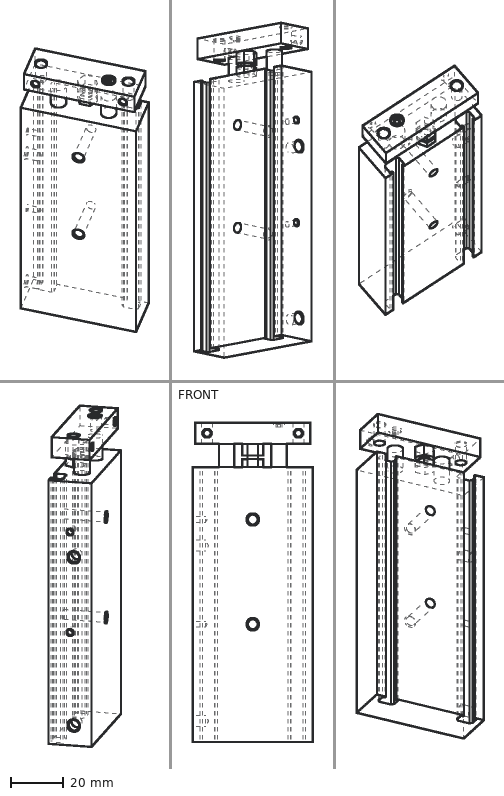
import cadquery as cq
import math

OVERALL_HEIGHT = 122.0

HOUSING_WIDTH = 46.0
HOUSING_DEPTH = 17.0
HOUSING_HEIGHT = 105.0
HOUSING_FRONT = -HOUSING_DEPTH / 2
HOUSING_BACK = HOUSING_DEPTH / 2
HOUSING_LEFT = -HOUSING_WIDTH / 2

GROOVE_OFFSET = 16.8
GROOVE_OPENING = 4.6
GROOVE_LIP = 0.9
GROOVE_WIDTH = 6.6
GROOVE_DEPTH = 4.9
GROOVE_CORNER_CHAMFER = 0.9

MOUNT_DROPS = (20.0, 60.0)

MOUNT_DIAMETER = 3.8
MOUNT_MOUTH = 4.8

SIDE_HOLE_DIAMETER = 2.2
SIDE_HOLE_MOUTH = 2.8
SIDE_HOLE_DEPTH = 4.9

PORT_DROPS = (30.0, 97.0)
PORT_DIAMETER = 4.1
PORT_MOUTH = 5.0
PORT_DEPTH = 4.9

DRILL_TIP_ANGLE = 118.0
MOUTH_ANGLE = 90.0

PLATE_WIDTH = 44.0
PLATE_DEPTH = 15.0
PLATE_HEIGHT = 8.0
PLATE_FRONT = -PLATE_DEPTH / 2
PLATE_BOTTOM = OVERALL_HEIGHT - PLATE_HEIGHT
PLATE_MIDDLE = OVERALL_HEIGHT - PLATE_HEIGHT / 2

PLATE_HOLE_OFFSET = 17.5
PLATE_TOP_DIAMETER = 4.1
PLATE_TOP_MOUTH = 4.8
PLATE_FRONT_DIAMETER = 2.7
PLATE_FRONT_MOUTH = 3.4
PLATE_FRONT_DEPTH = 3.7

ROD_OFFSET = 10.0
ROD_Y = -1.5
ROD_DIAMETER = 6.0
SCREW_RECESS_MOUTH = 5.2
SCREW_RECESS_DIAMETER = 4.3
SCREW_RECESS_DEPTH = 0.6
SOCKET_ACROSS_FLATS = 2.1
SOCKET_DEPTH = 1.0

PISTON_Y = 3.5
PISTON_DIAMETER = 4.0
HEX_ACROSS_FLATS = 7.0
LOCK_NUT_HEIGHT = 3.0
UPPER_HEX_HEIGHT = 4.5

PORT_Y = ROD_Y


def cone_height(diameter, angle):
    """Height of a cone with this base diameter and included angle."""
    return diameter / 2 / math.tan(math.radians(angle / 2))


def hole_cutter(mouth, into, diameter, mouth_diameter, depth, pointed):
    """Round hole with a countersunk mouth, bored from `mouth` along `into`."""
    radius = diameter / 2
    mouth_radius = mouth_diameter / 2
    mouth_depth = cone_height(mouth_diameter - diameter, MOUTH_ANGLE)
    tip = cone_height(diameter, DRILL_TIP_ANGLE) if pointed else 0
    profile = cq.Workplane("XZ").moveTo(0, 0).lineTo(mouth_radius, 0)
    profile = profile.lineTo(radius, mouth_depth).lineTo(radius, depth).lineTo(0, depth + tip)
    cutter = profile.close().revolve(360, (0, 0, 0), (0, 1, 0)).val()
    return cutter.moved(cq.Plane(origin=mouth, normal=into).location)


def hexagon(x, y, bottom, height, across_flats):
    """Upright hexagonal prism with two flats facing front and back."""
    across_corners = across_flats / math.cos(math.pi / 6)
    base = cq.Workplane("XY", origin=(x, y, bottom))
    return base.polygon(6, across_corners).extrude(height)


def cylinder(x, y, bottom, height, diameter):
    """Upright cylinder standing on the level `bottom`."""
    return cq.Workplane("XY", origin=(x, y, bottom)).circle(diameter / 2).extrude(height)


def sensor_groove(x):
    """T-shaped groove with a chamfered floor, along the full height of the housing back."""
    upright_bar = (True, False, False)
    floor = HOUSING_BACK - GROOVE_DEPTH
    opening = cq.Workplane("XY").box(GROOVE_OPENING, GROOVE_DEPTH, HOUSING_HEIGHT, upright_bar)
    channel = cq.Workplane("XY").box(GROOVE_WIDTH, GROOVE_DEPTH - GROOVE_LIP, HOUSING_HEIGHT, upright_bar)
    channel = channel.edges("|Z and <Y").chamfer(GROOVE_CORNER_CHAMFER)
    return opening.union(channel).translate((x, floor, 0))


def make_housing():
    """Block with sensor grooves, mounting holes, side holes and air ports."""
    housing = cq.Workplane("XY").box(HOUSING_WIDTH, HOUSING_DEPTH, HOUSING_HEIGHT, (True, True, False))
    for side in (-1, 1):
        housing = housing.cut(sensor_groove(side * GROOVE_OFFSET))

    for drop in MOUNT_DROPS:
        level = HOUSING_HEIGHT - drop
        mount = hole_cutter(
            (0, HOUSING_FRONT, level), (0, 1, 0), MOUNT_DIAMETER, MOUNT_MOUTH, HOUSING_DEPTH, False
        )
        side_hole = hole_cutter(
            (HOUSING_LEFT, 0, level), (1, 0, 0), SIDE_HOLE_DIAMETER, SIDE_HOLE_MOUTH, SIDE_HOLE_DEPTH, True
        )
        housing = housing.cut(cq.Workplane(mount)).cut(cq.Workplane(side_hole))

    for drop in PORT_DROPS:
        level = HOUSING_HEIGHT - drop
        port = hole_cutter(
            (HOUSING_LEFT, PORT_Y, level), (1, 0, 0), PORT_DIAMETER, PORT_MOUTH, PORT_DEPTH, True
        )
        housing = housing.cut(cq.Workplane(port))
    return housing


def make_plate():
    """Tool plate with its two top holes, two front holes and the screw recess."""
    plate = cq.Workplane("XY", origin=(0, 0, PLATE_BOTTOM))
    plate = plate.box(PLATE_WIDTH, PLATE_DEPTH, PLATE_HEIGHT, (True, True, False))
    for x in (-PLATE_HOLE_OFFSET, PLATE_HOLE_OFFSET):
        top_hole = hole_cutter(
            (x, 0, OVERALL_HEIGHT), (0, 0, -1), PLATE_TOP_DIAMETER, PLATE_TOP_MOUTH, PLATE_HEIGHT, False
        )
        front_hole = hole_cutter(
            (x, PLATE_FRONT, PLATE_MIDDLE),
            (0, 1, 0),
            PLATE_FRONT_DIAMETER,
            PLATE_FRONT_MOUTH,
            PLATE_FRONT_DEPTH,
            True,
        )
        plate = plate.cut(cq.Workplane(top_hole)).cut(cq.Workplane(front_hole))

    recess = hole_cutter(
        (ROD_OFFSET, ROD_Y, OVERALL_HEIGHT),
        (0, 0, -1),
        SCREW_RECESS_DIAMETER,
        SCREW_RECESS_MOUTH,
        SCREW_RECESS_DEPTH,
        False,
    )
    socket_bottom = OVERALL_HEIGHT - SCREW_RECESS_DEPTH - SOCKET_DEPTH
    socket = hexagon(ROD_OFFSET, ROD_Y, socket_bottom, SOCKET_DEPTH, SOCKET_ACROSS_FLATS)
    return plate.cut(cq.Workplane(recess)).cut(socket)


def make_slide():
    """Tool plate, guide rods and piston rod, standing on the housing top."""
    slide = make_plate()
    gap = PLATE_BOTTOM - HOUSING_HEIGHT
    for x in (-ROD_OFFSET, ROD_OFFSET):
        slide = slide.union(cylinder(x, ROD_Y, HOUSING_HEIGHT, gap, ROD_DIAMETER))
    slide = slide.union(cylinder(0, PISTON_Y, HOUSING_HEIGHT, gap, PISTON_DIAMETER))
    slide = slide.union(hexagon(0, PISTON_Y, HOUSING_HEIGHT, LOCK_NUT_HEIGHT, HEX_ACROSS_FLATS))
    upper_bottom = PLATE_BOTTOM - UPPER_HEX_HEIGHT
    return slide.union(hexagon(0, PISTON_Y, upper_bottom, UPPER_HEX_HEIGHT, HEX_ACROSS_FLATS))


housing = make_housing()
slide = make_slide()
result = cq.Compound.makeCompound([housing.val(), slide.val()])